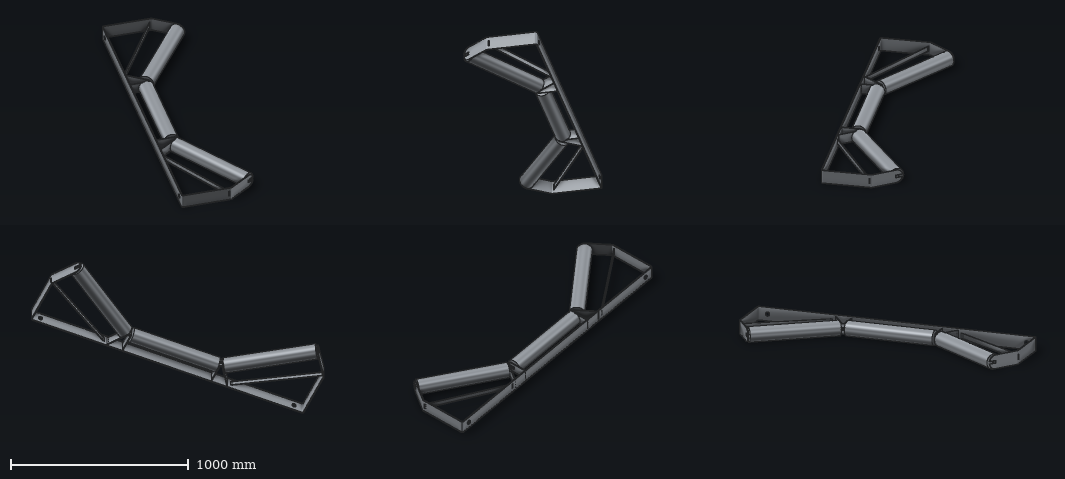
import cadquery as cq
import math


frame_length = 1680.0
strip_thickness = 6.0
strip_width = 80.0
bracket_width = 60.0
bend_radius = 12.0
inner_bend_radius = bend_radius - strip_thickness
hole_diameter = 24.0
hole_inset = 59.0

roller_diameter = 89.0
roller_length = 530.0
roller_radius = roller_diameter / 2
roller_gap = 5.9
shaft_size = 15.0
shaft_setback = 2.0
slot_overrun = 5.0
wing_tilt = 35.0
center_roller_y = 99.0
wing_roller_x = 522.0
wing_roller_y = 262.0

tab_rise = 34.0
tab_tip_radius = strip_width / 2

brace_thickness = 5.0
brace_width = 30.0
brace_wall_y = 280.0
brace_foot_x = 393.0
brace_poke = 0.3

half_length = frame_length / 2
tilt = math.radians(wing_tilt)
near_face = roller_length / 2 + roller_gap
far_face = near_face + strip_thickness
slot_end = far_face + slot_overrun
slot_height = 2 * tab_rise


def wing_point(along, above):
    """Point on the left wing: distance outward along the axis and above it."""
    x = -wing_roller_x - along * math.cos(tilt) + above * math.sin(tilt)
    y = wing_roller_y + along * math.sin(tilt) + above * math.cos(tilt)
    return (x, y)


def wing_face_at_x(along, x):
    """Point where a wing face, square to the wing axis, crosses the given X."""
    foot_x, _ = wing_point(along, 0)
    return wing_point(along, (x - foot_x) / math.sin(tilt))


def wing_face_at_y(along, y):
    """Point where a wing face, square to the wing axis, crosses the given Y."""
    _, foot_y = wing_point(along, 0)
    return wing_point(along, (y - foot_y) / math.cos(tilt))


def mirror_x(points):
    """The same points reflected to the right, in reverse order."""
    return [(-x, y) for x, y in reversed(points)]


def plate(points, width):
    """Polygon in XY extruded equally to both sides of Z = 0."""
    return cq.Workplane("XY").workplane(offset=-width / 2).polyline(points).close().extrude(width)


def along_left_wing(shape):
    """Move a shape built along X at the origin onto the left wing axis."""
    turned = shape.rotate((0, 0, 0), (0, 0, 1), -wing_tilt)
    return turned.translate((-wing_roller_x, wing_roller_y, 0))


def along_center(shape):
    """Move a shape built along X at the origin onto the center roller axis."""
    return shape.translate((0, center_roller_y, 0))


def both_sides(left):
    """The left shape and its mirror image on the right."""
    return [left, left.mirror("YZ")]


def make_roller():
    """Roller along X with square shaft ends that sit in slots in the strips."""
    left_end = cq.Plane(origin=(-roller_length / 2, 0, 0), xDir=(0, 0, 1), normal=(1, 0, 0))
    shell = cq.Workplane(left_end).circle(roller_radius).extrude(roller_length)
    shaft = cq.Workplane("XY").box(2 * (far_face - shaft_setback), shaft_size, shaft_size)
    return shell.union(shaft)


def make_slot_cutter():
    """Slot space along X: holds the square shaft end and is open upward."""
    slot = cq.Workplane("XY").box(
        2 * slot_end, slot_height, shaft_size, centered=(True, False, True)
    )
    return slot.translate((0, -shaft_size / 2, 0))


def make_tip_cutter():
    """Material outside the rounded tip of the left wing tab."""
    arc_y = tab_rise - tab_tip_radius
    cutter_length = 2 * strip_thickness
    above_arc = cq.Workplane("XY").box(
        cutter_length, strip_width, 2 * strip_width, centered=(True, False, True)
    )
    tip_round = cq.Workplane("YZ").circle(tab_tip_radius).extrude(cutter_length, both=True)
    mid_strip = near_face + strip_thickness / 2
    return along_left_wing(above_arc.cut(tip_round).translate((-mid_strip, arc_y, 0)))


def make_frame():
    """Base, side walls and wing tabs bent from one strip."""
    left_outer = [
        wing_point(far_face, tab_rise),
        wing_face_at_x(far_face, -half_length),
        (-half_length, 0),
    ]
    left_inner = [
        wing_point(near_face, 2 * tab_rise),
        wing_face_at_x(near_face, -half_length + strip_thickness),
        (-half_length + strip_thickness, strip_thickness),
    ]
    outer = plate(left_outer + mirror_x(left_outer), strip_width)
    inner = plate(left_inner + mirror_x(left_inner), strip_width)

    def at_bend(edge):
        """The bends all lie below the outer ends of the wing roller axes."""
        return edge.Center().y < wing_point(roller_length / 2, 0)[1]

    frame = outer.edges("|Z").filter(at_bend).fillet(bend_radius)
    frame = frame.cut(inner.edges("|Z").filter(at_bend).fillet(inner_bend_radius))

    for cutter in both_sides(make_tip_cutter()) + both_sides(along_left_wing(make_slot_cutter())):
        frame = frame.cut(cutter)

    holes = (
        cq.Workplane("XZ")
        .pushPoints([(hole_inset - half_length, 0), (half_length - hole_inset, 0)])
        .circle(hole_diameter / 2)
        .extrude(-strip_thickness)
    )
    return frame.cut(holes)


def make_left_bracket():
    """Inner bracket: an inverted V holding the ends of two neighbouring rollers."""
    base_top = strip_thickness
    outer = plate([
        wing_face_at_y(-near_face, base_top),
        wing_face_at_x(-near_face, -near_face),
        (-near_face, base_top),
    ], bracket_width)
    inner = plate([
        wing_face_at_y(-far_face, base_top),
        wing_face_at_x(-far_face, -far_face),
        (-far_face, base_top),
    ], bracket_width)
    bracket = outer.edges("|Z and >Y").fillet(bend_radius)
    bracket = bracket.cut(inner.edges("|Z and >Y").fillet(inner_bend_radius))
    slot = make_slot_cutter()
    return bracket.cut(along_left_wing(slot)).cut(along_center(slot))


def make_left_brace():
    """Diagonal flat bar from the base up to and into the side wall."""
    angle = math.atan2(brace_wall_y - strip_thickness, half_length - brace_foot_x)
    wall_x = -half_length + brace_thickness / 2 * math.sin(angle) - brace_poke
    foot = (-brace_foot_x, strip_thickness)
    run = (foot[0] - wall_x) / math.cos(angle)
    bar = (
        cq.Workplane("XY")
        .box(run + 2 * strip_thickness, brace_thickness, brace_width, centered=(False, True, True))
        .translate((-run, 0, 0))
        .rotate((0, 0, 0), (0, 0, 1), -math.degrees(angle))
        .translate((*foot, 0))
    )
    space = cq.Workplane("XY").box(half_length, frame_length, strip_width, centered=(False, False, True))
    return bar.intersect(space.translate((-half_length, strip_thickness, 0)))


roller = make_roller()
rollers = [along_center(roller)] + both_sides(along_left_wing(roller))
brackets = both_sides(make_left_bracket())
braces = both_sides(make_left_brace())

frame = make_frame()
for brace in braces:
    frame = frame.cut(brace)

bodies = [frame] + brackets + braces + rollers
result = cq.Compound.makeCompound([body.solids().val() for body in bodies])